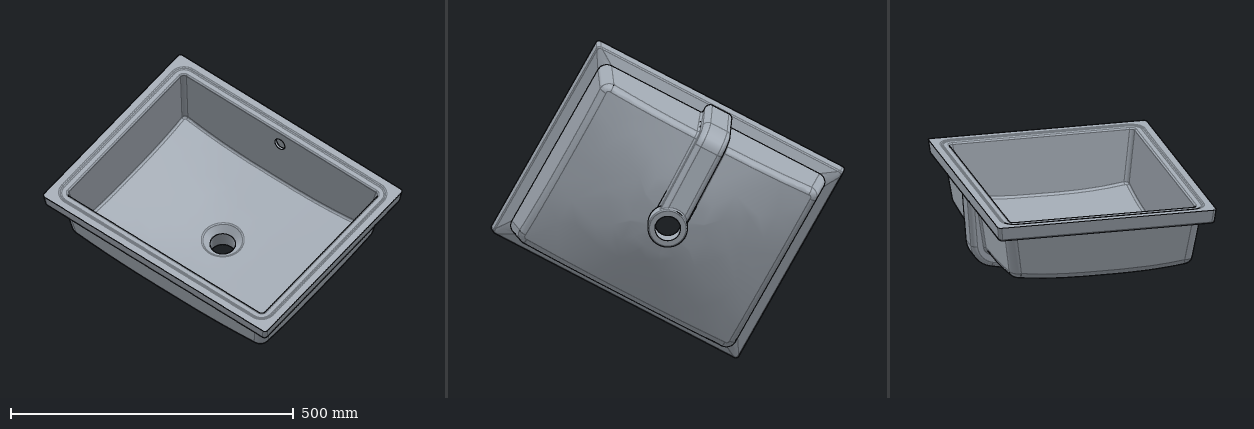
import cadquery as cq


length = 499.5
width = 399.5
height = 180.0

rim_corner_radius = 6.0
rim_side_depth = 25.0
rim_side_inset = 3.0
rim_edge_radius = 3.5
underside_depth = 32.0

step_length = 470.0
step_width = 370.0
step_run = 2.75
step_depth = 1.5
step_corner_radius = 25.0
step_blend_radius = 5.5

wall_slope = 0.15
bowl_length = 454.5
bowl_width = 354.5
bowl_corner_radius = 18.0
bowl_edge_radius = 14.0

basin_length = 439.5
basin_width = 339.5
basin_corner_radius = 7.5
basin_edge_radius = 5.0
basin_lip_radius = 3.0
basin_headroom = 20.0

dish_power = 3
dish_core = 16.5
dish_slope_x = 0.22
dish_slope_y = 0.26
dish_origin = -165.5
dish_patches = 24
floor_thickness = 12.0

drain_radius = 35.0
drain_edge_radius = 2.5
drain_hole_radius = 22.5
flare_radius = 36.5
flare_depth = 11.5
flare_edge_radius = 5.0

channel_width = 53.0
channel_top_y = 196.5
channel_corner_y = 187.5
channel_corner_z = -146.0
channel_end_y = 20.0
channel_end_z = -179.0
channel_root_top_y = 171.5
channel_root_y = 147.5
channel_root_z = -110.0
channel_bend_radius = 45.0
channel_edge_radius = 10.0
channel_blend_radius = 4.0

inlet_diameter = 22.0
inlet_level = -29.0
inlet_depth = 5.0

pick_margin = 0.5


def tapered_block(top, bottom, top_size, bottom_size, top_radius, bottom_radius):
    """Block with rounded corners that changes size evenly between two levels."""
    top_outline = cq.Sketch().rect(*top_size).vertices().fillet(top_radius)
    bottom_outline = cq.Sketch().rect(*bottom_size).vertices().fillet(bottom_radius)
    outlines = cq.Workplane("XY").placeSketch(
        bottom_outline.moved(cq.Location(cq.Vector(0, 0, bottom))),
        top_outline.moved(cq.Location(cq.Vector(0, 0, top))),
    )
    return outlines.loft(ruled=True)


def walled_block(top, level, size, radius):
    """Sloped-wall block from `top` down past the floor, measuring `size` at `level`."""
    def size_at(z):
        growth = 2 * wall_slope * (z - level)
        return size[0] + growth, size[1] + growth

    return tapered_block(top, -height, size_at(top), size_at(-height), radius, radius)


def pick_box(half_length, half_width, bottom, top):
    """Selects edges lying wholly inside a box centred on the Z axis."""
    return cq.selectors.BoxSelector(
        (-half_length - pick_margin, -half_width - pick_margin, bottom - pick_margin),
        (half_length + pick_margin, half_width + pick_margin, top + pick_margin),
        boundingbox=True,
    )


def dish_height(x, y):
    rise_x = abs(dish_slope_x * x) ** dish_power
    rise_y = abs(dish_slope_y * y) ** dish_power
    return dish_origin + (dish_core**dish_power + rise_x + rise_y) ** (1 / dish_power)


def space_above_dish(lift):
    """Everything above the dished surface raised by `lift`."""
    fractions = [i / dish_patches - 0.5 for i in range(dish_patches + 1)]
    points = [
        [cq.Vector(length * u, width * v, dish_height(length * u, width * v) + lift) for v in fractions]
        for u in fractions
    ]
    surface = cq.Face.makeSplineApprox(points, tol=0.005, minDeg=3, maxDeg=6)
    return cq.Workplane(cq.Solid.extrudeLinear(surface, cq.Vector(0, 0, 2 * height)))


def make_rim():
    side_size = (length - 2 * rim_side_inset, width - 2 * rim_side_inset)
    sides = tapered_block(
        0, -rim_side_depth, (length, width), side_size, rim_corner_radius, rim_corner_radius
    )
    underside = tapered_block(
        -rim_side_depth, -underside_depth, side_size, (bowl_length, bowl_width),
        rim_corner_radius, bowl_corner_radius,
    )
    lower_edge = pick_box(length / 2, width / 2, -rim_side_depth, -rim_side_depth)
    return sides.union(underside).edges(lower_edge).fillet(rim_edge_radius)


def make_bowl():
    block = walled_block(-rim_side_depth, -underside_depth, (bowl_length, bowl_width), bowl_corner_radius)
    bowl = block.intersect(space_above_dish(0))
    return bowl.faces("<Z").edges().fillet(bowl_edge_radius)


def make_drain():
    drain_top = dish_height(0, 0) + floor_thickness / 2
    drain = cq.Workplane("XY", origin=(0, 0, -height)).circle(drain_radius).extrude(height + drain_top)
    return drain.faces("<Z").edges().fillet(drain_edge_radius)


def make_channel():
    channel = (
        cq.Workplane("YZ")
        .moveTo(channel_top_y, -rim_side_depth)
        .lineTo(channel_corner_y, channel_corner_z)
        .lineTo(channel_end_y, channel_end_z)
        .lineTo(channel_end_y, dish_height(0, 0) + floor_thickness / 2)
        .lineTo(channel_root_y, channel_root_z)
        .lineTo(channel_root_top_y, -rim_side_depth)
        .close()
        .extrude(channel_width / 2, both=True)
    )
    bend = cq.selectors.NearestToPointSelector((0, channel_corner_y, channel_corner_z))
    channel = channel.edges(bend).fillet(channel_bend_radius)
    return channel.faces(bend).edges("not |X").fillet(channel_edge_radius)


def make_body():
    """Bowl, drain and channel, with the channel sides blended into the other two."""
    body = make_bowl().union(make_channel()).union(make_drain())
    channel_sides = pick_box(
        channel_width / 2, bowl_width / 2, channel_end_z + channel_edge_radius, -underside_depth
    )
    behind_drain_axis = cq.selectors.BoxSelector(
        (-length, channel_end_y, -height), (length, width, 0), boundingbox=True
    )
    return body.edges(channel_sides).edges(behind_drain_axis).fillet(channel_blend_radius)


def make_basin():
    block = walled_block(basin_headroom, 0, (basin_length, basin_width), basin_corner_radius)
    basin = block.intersect(space_above_dish(floor_thickness))
    return basin.faces("<Z").edges().fillet(basin_edge_radius)


def make_step():
    bottom_size = (step_length - 2 * step_run, step_width - 2 * step_run)
    step = tapered_block(
        0, -step_depth, (step_length, step_width), bottom_size,
        step_corner_radius, step_corner_radius - step_run,
    )
    return step.faces("<Z").edges().fillet(step_blend_radius)


def make_drain_opening():
    """Through hole with a conical flare that opens past the basin floor."""
    floor_level = dish_height(flare_radius, 0) + floor_thickness
    flare_run = flare_radius - drain_hole_radius
    return (
        cq.Workplane("XZ")
        .moveTo(0, -height)
        .lineTo(drain_hole_radius, -height)
        .lineTo(drain_hole_radius, floor_level - flare_depth)
        .lineTo(flare_radius + flare_run, floor_level + flare_depth)
        .lineTo(0, floor_level + flare_depth)
        .close()
        .revolve(360, (0, 0, 0), (0, 1, 0))
    )


def make_overflow_inlet():
    """Round cutter square to the sloped +Y basin wall, reaching equally far to both sides."""
    wall_y = basin_width / 2 + wall_slope * inlet_level
    wall = cq.Plane(origin=(0, wall_y, inlet_level), xDir=(1, 0, 0), normal=(0, 1, -wall_slope))
    return cq.Workplane(wall).circle(inlet_diameter / 2).extrude(inlet_depth, both=True)


part = make_rim().union(make_body())
part = part.cut(make_basin()).cut(make_step())

basin_lip = pick_box(basin_length / 2, basin_width / 2, -step_depth, -step_depth)
part = part.edges(basin_lip).fillet(basin_lip_radius)
step_top = pick_box(step_length / 2, step_width / 2, 0, 0)
part = part.edges(step_top).fillet(step_blend_radius)

part = part.cut(make_drain_opening())
dish_bottom = dish_height(0, 0) + floor_thickness
flare_mouth = pick_box(drain_radius + 5, drain_radius + 5, dish_bottom, dish_bottom + 5)
part = part.edges(flare_mouth).fillet(flare_edge_radius)

result = part.cut(make_overflow_inlet())